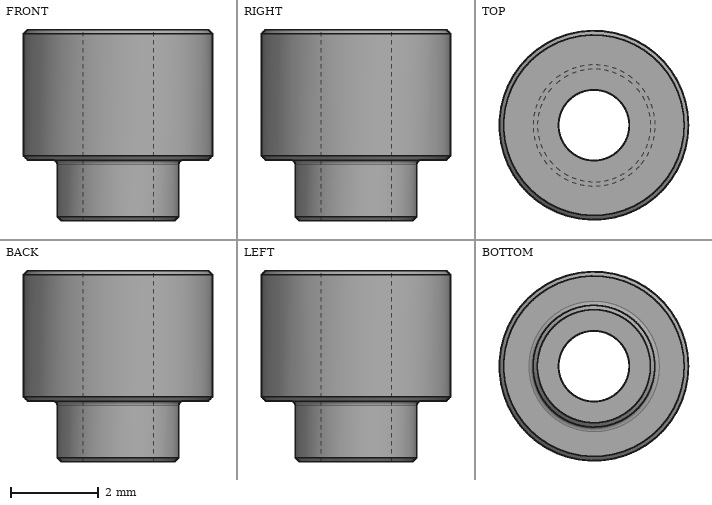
import cadquery as cq

head_diameter = 4.35
head_height = 3.0
spigot_diameter = 2.8
spigot_length = 1.4
bore_diameter = 1.62
edge_chamfer = 0.1
neck_fillet = 0.1

head_radius = head_diameter / 2
spigot_radius = spigot_diameter / 2
bore_radius = bore_diameter / 2
head_top = head_height
spigot_bottom = -spigot_length


def make_bushing():
    """Revolve the half section of the stepped, bored bushing about the Z axis."""
    section = (
        cq.Workplane("XZ")
        .moveTo(bore_radius, spigot_bottom)
        .lineTo(spigot_radius - edge_chamfer, spigot_bottom)
        .lineTo(spigot_radius, spigot_bottom + edge_chamfer)
        .lineTo(spigot_radius, -neck_fillet)
        .tangentArcPoint((spigot_radius + neck_fillet, 0), relative=False)
        .lineTo(head_radius - edge_chamfer, 0)
        .lineTo(head_radius, edge_chamfer)
        .lineTo(head_radius, head_top - edge_chamfer)
        .lineTo(head_radius - edge_chamfer, head_top)
        .lineTo(bore_radius, head_top)
        .close()
    )
    return section.revolve(360, (0, 0), (0, 1))


result = make_bushing()